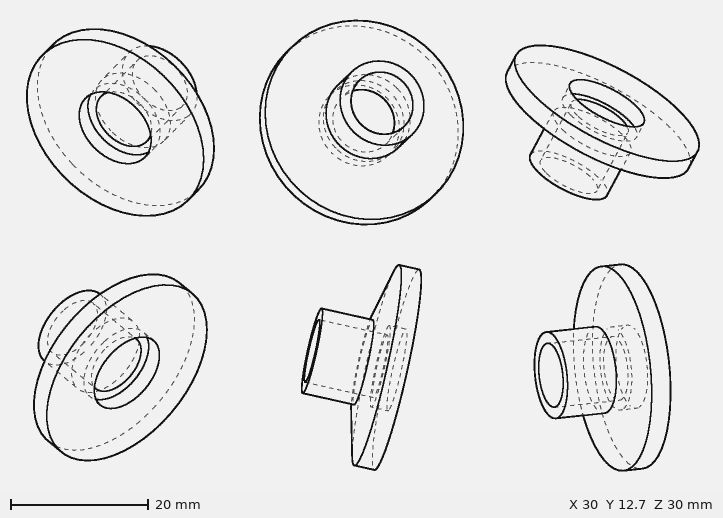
import cadquery as cq
import math

flange_diameter = 30.0
rim_thickness = 3.0
flange_thickness = 5.0
taper_angle = 15.0

tube_diameter = 12.7
bore_diameter = 9.35
overall_length = 12.7

recess_diameter = 12.2
recess_depth = 2.5

flange_radius = flange_diameter / 2
tube_radius = tube_diameter / 2
taper_height = flange_thickness - rim_thickness
taper_end_radius = flange_radius - taper_height / math.tan(math.radians(taper_angle))


def make_body():
    """Solid flange, back cone and tube, revolved about the Y axis from the front face at Y = 0."""
    return (
        cq.Workplane("XY")
        .lineTo(flange_radius, 0)
        .lineTo(flange_radius, rim_thickness)
        .lineTo(taper_end_radius, flange_thickness)
        .lineTo(tube_radius, flange_thickness)
        .lineTo(tube_radius, overall_length)
        .lineTo(0, overall_length)
        .close()
        .revolve(360, (0, 0, 0), (0, 1, 0))
    )


def front_cylinder(diameter, depth):
    """Cylinder on the part axis, running from the front face toward +Y."""
    return cq.Workplane("XZ").circle(diameter / 2).extrude(-depth)


through_bore = front_cylinder(bore_diameter, overall_length)
front_recess = front_cylinder(recess_diameter, recess_depth)

result = make_body().cut(through_bore).cut(front_recess)